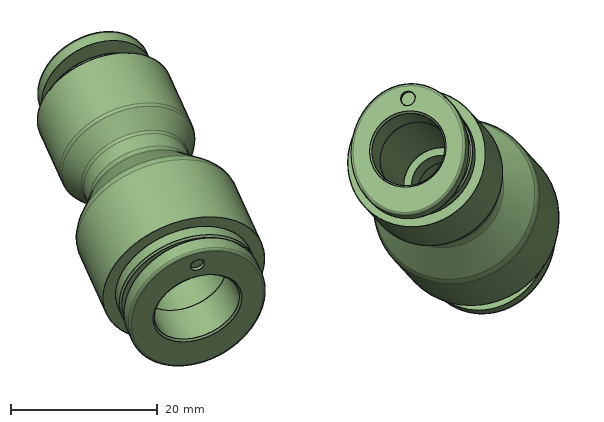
import cadquery as cq


LENGTH = 44.9

HOUSING_START = 4.9
HOUSING_END = 39.0
SMALL_BODY_DIAMETER = 19.3
LARGE_BODY_DIAMETER = 23.2
WAIST_DIAMETER = 15.2
SMALL_CONE_START = 14.95
WAIST_START = 18.3
WAIST_END = 21.65
LARGE_CONE_END = 27.15
SMALL_CONE_FILLET = 1.0
LARGE_CONE_FILLET = 1.98
PASSAGE_DIAMETER = 8.0

SMALL_BORE_DIAMETER = 10.2
LARGE_BORE_DIAMETER = 12.2

RING_CHAMFER = 0.25
CAP_FILLET = 0.35
MOUTH_CHAMFER = 0.25
DOT_DIAMETER = 2.0
DOT_DEPTH = 0.5


def cylinder(diameter, start, end):
    """Cylinder about the X axis between two X positions."""
    return cq.Workplane("YZ", origin=(start, 0, 0)).circle(diameter / 2).extrude(end - start)


def corner_fillet(body, corner_x, radius):
    """Round the circular edge of a turned body at the given X position."""
    edge_zone = cq.selectors.BoxSelector(
        (corner_x - radius / 2, -LARGE_BODY_DIAMETER, -LARGE_BODY_DIAMETER),
        (corner_x + radius / 2, LARGE_BODY_DIAMETER, LARGE_BODY_DIAMETER),
    )
    return body.edges(edge_zone).edges("%CIRCLE").fillet(radius)


def make_housing():
    """Waisted housing with a tube bore from each end and a narrower passage between them."""
    outline = [
        (HOUSING_START, 0),
        (HOUSING_START, SMALL_BODY_DIAMETER / 2),
        (SMALL_CONE_START, SMALL_BODY_DIAMETER / 2),
        (WAIST_START, WAIST_DIAMETER / 2),
        (WAIST_END, WAIST_DIAMETER / 2),
        (LARGE_CONE_END, LARGE_BODY_DIAMETER / 2),
        (HOUSING_END, LARGE_BODY_DIAMETER / 2),
        (HOUSING_END, 0),
    ]
    housing = cq.Workplane("XY").polyline(outline).close().revolve(360, (0, 0, 0), (1, 0, 0))

    housing = corner_fillet(housing, SMALL_CONE_START, SMALL_CONE_FILLET)
    housing = corner_fillet(housing, WAIST_START, SMALL_CONE_FILLET)
    housing = corner_fillet(housing, WAIST_END, LARGE_CONE_FILLET)
    housing = corner_fillet(housing, LARGE_CONE_END, LARGE_CONE_FILLET)

    housing = housing.cut(cylinder(SMALL_BORE_DIAMETER, HOUSING_START, WAIST_START))
    housing = housing.cut(cylinder(PASSAGE_DIAMETER, WAIST_START, WAIST_END))
    return housing.cut(cylinder(LARGE_BORE_DIAMETER, WAIST_END, HOUSING_END))


def make_sleeve(cap_width, cap_height, cap_end, neck_diameter, neck_end,
                ring_diameter, ring_end, bore_diameter):
    """Release sleeve with its outer face at X = 0: elliptical cap, neck, then seating ring."""
    cap = cq.Workplane("YZ").ellipse(cap_width / 2, cap_height / 2).extrude(cap_end)
    cap = cap.faces("<X").edges().fillet(CAP_FILLET)
    neck = cylinder(neck_diameter, cap_end, neck_end)
    ring = cylinder(ring_diameter, neck_end, ring_end).faces("<X").edges().chamfer(RING_CHAMFER)
    sleeve = cap.union(neck).union(ring)

    sleeve = sleeve.cut(cylinder(bore_diameter, 0, ring_end))
    mouth = sleeve.faces("<X").edges(cq.selectors.RadiusNthSelector(0))
    sleeve = mouth.chamfer(MOUTH_CHAMFER)

    face_inner_radius = bore_diameter / 2 + MOUTH_CHAMFER
    face_top = cap_height / 2 - CAP_FILLET
    dot_height = (face_inner_radius + face_top) / 2
    dot = cylinder(DOT_DIAMETER, 0, DOT_DEPTH).translate((0, 0, dot_height))
    return sleeve.cut(dot)


housing = make_housing()

small_sleeve = make_sleeve(
    cap_width=16.07,
    cap_height=18.6,
    cap_end=1.98,
    neck_diameter=11.7,
    neck_end=3.15,
    ring_diameter=16.5,
    ring_end=HOUSING_START,
    bore_diameter=SMALL_BORE_DIAMETER,
)

large_sleeve = make_sleeve(
    cap_width=19.6,
    cap_height=22.6,
    cap_end=2.25,
    neck_diameter=14.2,
    neck_end=4.0,
    ring_diameter=19.6,
    ring_end=LENGTH - HOUSING_END,
    bore_diameter=LARGE_BORE_DIAMETER,
)
large_sleeve = large_sleeve.mirror("YZ").translate((LENGTH, 0, 0))

result = cq.Compound.makeCompound([housing.val(), small_sleeve.val(), large_sleeve.val()])